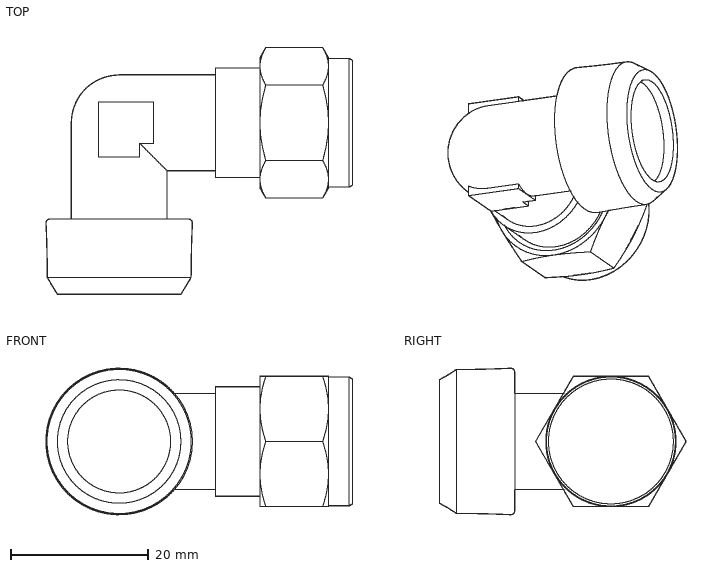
import cadquery as cq
import math

tube_radius = 7.0

pad_half_height = 7.05
pad_outer = 3.0
pad_inner = 5.0
pad_notch = 2.0

collar_start = 14.0
collar_radius = 8.0
hex_start = 20.5
hex_length = 10.0
hex_flats = 19.0
hex_chamfer_angle = 30.0
countersink_radius = 8.75
countersink_depth = 0.75
nose_end = 34.0
nose_radius = 9.4
nose_chamfer_length = 0.5
nose_chamfer_width = 0.3

round_start = 14.0
round_end = 25.0
round_back_radius = 10.685
round_front_radius = 10.5
round_fillet = 0.6
front_chamfer_length = 2.5
front_chamfer_width = 1.5
recess_radius = 7.5
recess_depth = 1.5


def rod(radius, start, end):
    """Cylinder on the X axis between two X positions."""
    return cq.Workplane("YZ").workplane(offset=start).circle(radius).extrude(end - start)


def make_elbow():
    """Two equal tubes meeting at a right angle, with a ball closing the outside of the bend."""
    x_tube = rod(tube_radius, 0, collar_start)
    y_tube = cq.Workplane("XZ").circle(tube_radius).extrude(round_start)
    ball = cq.Workplane("XY").sphere(tube_radius)
    return x_tube.union(y_tube).union(ball)


def make_pads():
    """Notched square block through the bend; its ends stand out as flat pads."""
    notch_start = pad_inner - pad_notch
    return (
        cq.Workplane("XY")
        .workplane(offset=-pad_half_height)
        .moveTo(-pad_outer, pad_outer)
        .lineTo(pad_inner, pad_outer)
        .lineTo(pad_inner, -notch_start)
        .lineTo(notch_start, -notch_start)
        .lineTo(notch_start, -pad_inner)
        .lineTo(-pad_outer, -pad_inner)
        .close()
        .extrude(2 * pad_half_height)
    )


def make_hex_nut():
    """Hexagon with flats facing +Z and -Z, corners chamfered at both ends, rear face countersunk."""
    hex_end = hex_start + hex_length
    flat_radius = hex_flats / 2
    corner_radius = flat_radius / math.cos(math.pi / 6)
    blank = (
        cq.Workplane("YZ")
        .workplane(offset=hex_start)
        .polygon(6, 2 * corner_radius)
        .extrude(hex_length)
    )
    chamfer_width = corner_radius - flat_radius
    chamfer_length = chamfer_width * math.tan(math.radians(hex_chamfer_angle))
    envelope = (
        cq.Workplane("XY")
        .moveTo(hex_start, 0)
        .lineTo(hex_start, flat_radius)
        .lineTo(hex_start + chamfer_length, corner_radius)
        .lineTo(hex_end - chamfer_length, corner_radius)
        .lineTo(hex_end, flat_radius)
        .lineTo(hex_end, 0)
        .close()
        .revolve(360, (0, 0, 0), (1, 0, 0))
    )
    countersink = (
        cq.Workplane("XY")
        .moveTo(hex_start, collar_radius)
        .lineTo(hex_start, countersink_radius)
        .lineTo(hex_start + countersink_depth, collar_radius)
        .close()
        .revolve(360, (0, 0, 0), (1, 0, 0))
    )
    return blank.intersect(envelope).cut(countersink)


def make_nose():
    """Round end of the X arm with a chamfered rim."""
    nose = rod(nose_radius, hex_start + hex_length, nose_end)
    return nose.faces(">X").edges().chamfer(nose_chamfer_length, nose_chamfer_width)


def make_round_nut():
    """Revolved nut whose side narrows in a shallow hollow curve and levels out at the front chamfer."""
    fillet_end = round_start + round_fillet
    chamfer_start = round_end - front_chamfer_length
    middle = (fillet_end + chamfer_start) / 2
    middle_radius = round_front_radius + (round_back_radius - round_front_radius) / 4
    fillet_inset = round_fillet * (1 - math.sqrt(0.5))
    return (
        cq.Workplane("XY")
        .moveTo(0, -round_start)
        .lineTo(round_back_radius - round_fillet, -round_start)
        .threePointArc(
            (round_back_radius - fillet_inset, -round_start - fillet_inset),
            (round_back_radius, -fillet_end),
        )
        .threePointArc((middle_radius, -middle), (round_front_radius, -chamfer_start))
        .lineTo(round_front_radius - front_chamfer_width, -round_end)
        .lineTo(recess_radius, -round_end)
        .lineTo(recess_radius, -round_end + recess_depth)
        .lineTo(0, -round_end + recess_depth)
        .close()
        .revolve(360, (0, 0, 0), (0, 1, 0))
    )


collar = rod(collar_radius, collar_start, hex_start + hex_length)

result = (
    make_elbow()
    .union(make_pads())
    .union(collar)
    .union(make_hex_nut())
    .union(make_nose())
    .union(make_round_nut())
)